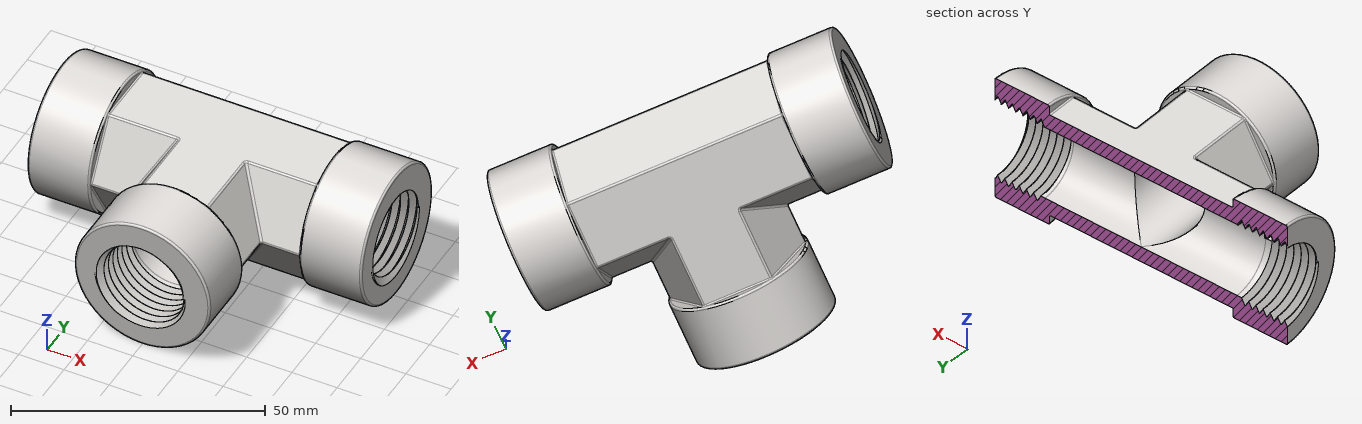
import cadquery as cq
import math

run_length = 74.0
depth = 52.0
collar_diameter = 30.0
collar_length = 13.85
collar_edge_radius = 0.45

collar_radius = collar_diameter / 2
half_run = run_length / 2
branch_reach = depth - collar_radius

hex_sides = 6
hex_half_flats = 12.65
hex_edge_radius = 0.5
junction_radius = 0.3
hex_corner_radius = hex_half_flats / math.cos(math.pi / hex_sides)

thread_length = 12.7
thread_turns = 7
thread_angle = 60
thread_mouth_radius = 9.1
thread_taper = 1.2
lead_in_turns = 0.35
crest_width = 0.04
groove_overlap = 0.015

thread_pitch = thread_length / thread_turns
thread_lead_in = lead_in_turns * thread_pitch
groove_width = thread_pitch - crest_width
groove_depth = groove_width / 2 / math.tan(math.radians(thread_angle / 2))
taper_slope = math.tan(math.radians(thread_taper))
bore_radius = thread_mouth_radius - thread_length * taper_slope

plane_tolerance = 0.01

ports = [(0, half_run), (180, half_run), (-90, branch_reach)]


def at_port(shape, angle):
    """Turn a shape lying along +X to point along the port direction."""
    return shape.rotate((0, 0, 0), (0, 0, 1), angle)


def hex_bar(start, end):
    """Hexagonal bar along X with flats on top and bottom."""
    return (
        cq.Workplane("YZ", origin=(start, 0, 0))
        .polygon(hex_sides, 2 * hex_corner_radius)
        .extrude(end - start)
    )


def make_body():
    """Hexagonal tee with all long and mitre edges rounded."""
    run_end = half_run - collar_length / 2
    branch_end = branch_reach - collar_length / 2
    run = hex_bar(-run_end, run_end)
    branch = at_port(hex_bar(0, branch_end), -90)
    tee = run.union(branch)
    return tee.edges("not(<X or >X or <Y)").fillet(hex_edge_radius)


def make_collar(reach):
    """Round collar with eased rims, its outer face at the given reach on +X."""
    return (
        cq.Workplane("YZ", origin=(reach - collar_length, 0, 0))
        .circle(collar_radius)
        .extrude(collar_length)
        .edges()
        .fillet(collar_edge_radius)
    )


def add_collar(tee, reach):
    """Join a collar to the +X arm and blend the hexagon into its inner face."""
    joined = tee.union(make_collar(reach))
    inner_face = reach - collar_length
    near = (inner_face - plane_tolerance, -collar_radius, -collar_radius)
    far = (inner_face + plane_tolerance, collar_radius, collar_radius)
    return (
        joined.edges(cq.selectors.BoxSelector(near, far))
        .filter(lambda edge: edge.Length() < hex_corner_radius)
        .fillet(junction_radius)
    )


def make_bore(reach):
    """Bore from the axis crossing: plain at first, then opening as a shallow cone through the thread."""
    return (
        cq.Workplane("XY")
        .polyline([
            (0, 0),
            (0, bore_radius),
            (reach - thread_length, bore_radius),
            (reach, thread_mouth_radius),
            (reach, 0),
        ])
        .close()
        .revolve(360, (0, 0, 0), (1, 0, 0))
    )


def make_thread(reach):
    """Helical V groove running inward from the port face along -X."""
    start_radius = thread_mouth_radius + thread_lead_in * taper_slope
    base_radius = start_radius - groove_overlap
    base_rise = groove_width / 2 * taper_slope
    helix = cq.Wire.makeHelix(thread_pitch, thread_length, start_radius, angle=-thread_taper)
    groove = (
        cq.Workplane("XZ")
        .polyline([
            (base_radius + base_rise, -groove_width / 2),
            (start_radius + groove_depth, 0),
            (base_radius - base_rise, groove_width / 2),
        ])
        .close()
        .sweep(cq.Workplane(obj=helix), isFrenet=True)
    )
    return (
        groove.rotate((0, 0, 0), (0, 0, 1), 90)
        .rotate((0, 0, 0), (0, 1, 0), -90)
        .translate((reach + thread_lead_in, 0, 0))
    )


result = make_body()
for angle, reach in ports:
    turned = at_port(result, -angle)
    result = at_port(add_collar(turned, reach), angle)
for angle, reach in ports:
    result = result.cut(at_port(make_bore(reach), angle))
for angle, reach in ports:
    result = result.cut(at_port(make_thread(reach), angle))